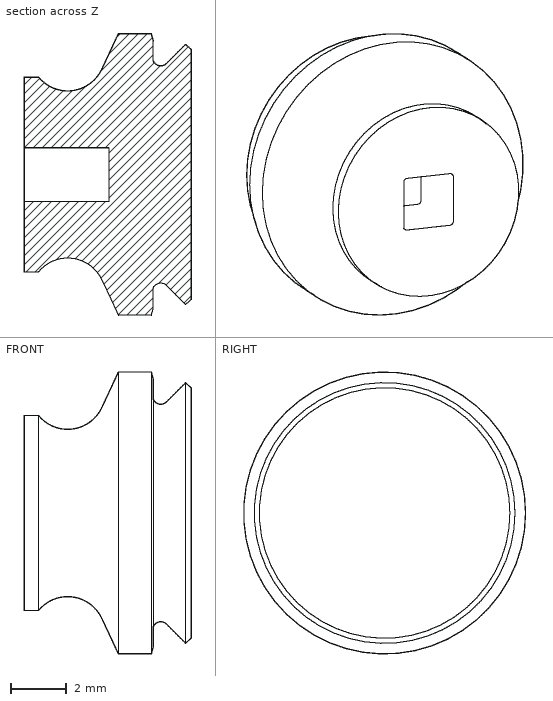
import cadquery as cq
import math

length = 6.0
neck_x = 1.56
rim_end_x = 4.57
rim_face_x = 4.64
groove_x = 4.9
lip_x = 5.79

flange_radius = 3.5
neck_radius = 3.01
rim_radius = 5.06
rim_bevel_radius = 4.8
groove_radius = 3.91
lip_radius = 4.68
end_radius = 4.5

neck_arc_radius = 1.35
cone_angle = math.radians(65)

groove_arc_radius = 0.29
lip_angle = math.radians(45)

socket_size = 1.92
socket_corner_radius = 0.13
socket_depth = 3.04


def arc_point(bottom_x, bottom_radius, arc_radius, angle):
    """Point on a concave arc, at an angle from the bottom of the arc."""
    x = bottom_x + arc_radius * math.sin(angle)
    radius = bottom_radius + arc_radius * (1 - math.cos(angle))
    return x, radius


def neck_point(angle):
    return arc_point(neck_x, neck_radius, neck_arc_radius, angle)


def groove_point(angle):
    return arc_point(groove_x, groove_radius, groove_arc_radius, angle)


def make_body():
    neck_start_angle = -math.acos(1 - (flange_radius - neck_radius) / neck_arc_radius)
    cone_start = neck_point(cone_angle)
    groove_start_angle = -math.asin((groove_x - rim_face_x) / groove_arc_radius)
    groove_start = groove_point(groove_start_angle)
    rim_start_x = cone_start[0] + (rim_radius - cone_start[1]) / math.tan(cone_angle)
    profile = (
        cq.Workplane("XY")
        .lineTo(0, flange_radius)
        .lineTo(*neck_point(neck_start_angle))
        .threePointArc(neck_point(neck_start_angle / 2), (neck_x, neck_radius))
        .threePointArc(neck_point(cone_angle / 2), cone_start)
        .lineTo(rim_start_x, rim_radius)
        .lineTo(rim_end_x, rim_radius)
        .lineTo(rim_face_x, rim_bevel_radius)
        .lineTo(*groove_start)
        .threePointArc(groove_point(groove_start_angle / 2), (groove_x, groove_radius))
        .threePointArc(groove_point(lip_angle / 2), groove_point(lip_angle))
        .lineTo(lip_x, lip_radius)
        .lineTo(length, end_radius)
        .lineTo(length, 0)
        .close()
    )
    return profile.revolve(360, (0, 0, 0), (1, 0, 0))


def make_socket():
    return (
        cq.Workplane("YZ")
        .rect(socket_size, socket_size)
        .extrude(socket_depth)
        .edges("|X")
        .fillet(socket_corner_radius)
    )


result = make_body().cut(make_socket())